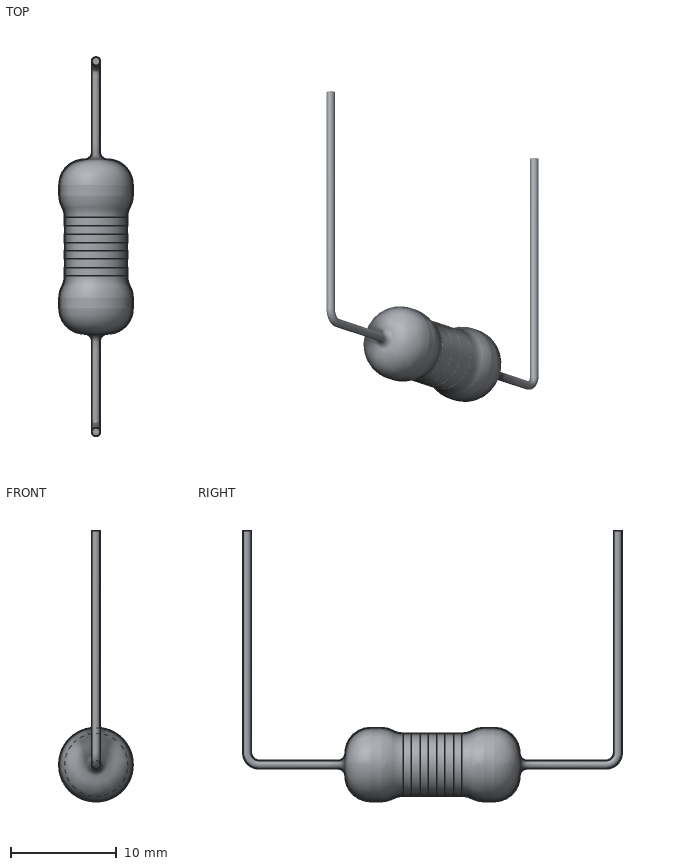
import cadquery as cq
import math


wire_diameter = 0.8
lead_pitch = 35.0
lead_top = 22.1
bend_radius = 1.15

body_length = 16.5
cap_diameter = 7.0
barrel_diameter = 5.95
band_diameter = 5.97
meniscus_radius = 0.65
cap_band_width = 0.96
barrel_length = 5.54
centre_gap = 0.76
band_width = 0.78

wire_radius = wire_diameter / 2
cap_radius = cap_diameter / 2
barrel_radius = barrel_diameter / 2
half_body = body_length / 2
end_round = cap_radius - wire_radius - meniscus_radius
half_barrel = barrel_length / 2
band_pitch = half_barrel - band_width - centre_gap / 2
cap_outer = half_body - end_round
cap_inner = cap_outer - cap_band_width

shoulder_length = cap_inner - half_barrel
shoulder_drop = cap_radius - barrel_radius
shoulder_angle = 2 * math.atan2(shoulder_drop, shoulder_length)
shoulder_radius = shoulder_length / (2 * math.sin(shoulder_angle))


def arc_point(centre_r, centre_y, radius, angle):
    """Point (r, y) on an arc; the angle runs from the radial direction towards +Y."""
    return (centre_r + radius * math.cos(angle), centre_y + radius * math.sin(angle))


def make_cap():
    """Cap on the +Y side, from the barrel's end to the meniscus around the lead."""
    convex_r = cap_radius - shoulder_radius
    concave_r = barrel_radius + shoulder_radius
    shoulder_middle = ((cap_radius + barrel_radius) / 2, (cap_inner + half_barrel) / 2)
    concave_mid = arc_point(concave_r, half_barrel, shoulder_radius, math.pi - shoulder_angle / 2)
    convex_mid = arc_point(convex_r, cap_inner, shoulder_radius, -shoulder_angle / 2)
    round_mid = arc_point(cap_radius - end_round, cap_outer, end_round, math.pi / 4)

    meniscus_r = wire_radius + meniscus_radius
    meniscus_y = half_body + meniscus_radius
    meniscus_mid = arc_point(meniscus_r, meniscus_y, meniscus_radius, -3 * math.pi / 4)

    profile = (
        cq.Workplane("XY")
        .moveTo(0, half_barrel)
        .lineTo(barrel_radius, half_barrel)
        .threePointArc(concave_mid, shoulder_middle)
        .threePointArc(convex_mid, (cap_radius, cap_inner))
        .lineTo(cap_radius, cap_outer)
        .threePointArc(round_mid, (meniscus_r, half_body))
        .threePointArc(meniscus_mid, (wire_radius, meniscus_y))
        .lineTo(0, meniscus_y)
        .close()
    )
    return profile.revolve(360, (0, 0, 0), (0, 1, 0))


def make_cylinder(diameter, y_start, y_end):
    """Cylinder on the body axis between two positions along it."""
    return (
        cq.Workplane("XZ", origin=(0, y_end, 0))
        .circle(diameter / 2)
        .extrude(y_end - y_start)
    )


def make_lead():
    """Lead on the +Y side, from the cap out and up to the tip."""
    lead_y = lead_pitch / 2
    bend_start = lead_y - bend_radius
    bend_mid = arc_point(bend_start, bend_radius, bend_radius, -math.pi / 4)
    path = (
        cq.Workplane("YZ")
        .moveTo(half_barrel, 0)
        .lineTo(bend_start, 0)
        .threePointArc(bend_mid, (lead_y, bend_radius))
        .lineTo(lead_y, lead_top)
    )
    return cq.Workplane("XZ", origin=(0, half_barrel, 0)).circle(wire_radius).sweep(path)


barrel = make_cylinder(barrel_diameter, -half_barrel, half_barrel)
end_part = make_cap().union(make_lead())
result = barrel.union(end_part).union(end_part.mirror("XZ"))

for band_start in (centre_gap / 2, centre_gap / 2 + band_pitch):
    band_end = band_start + band_width
    result = result.union(make_cylinder(band_diameter, band_start, band_end))
    result = result.union(make_cylinder(band_diameter, -band_end, -band_start))